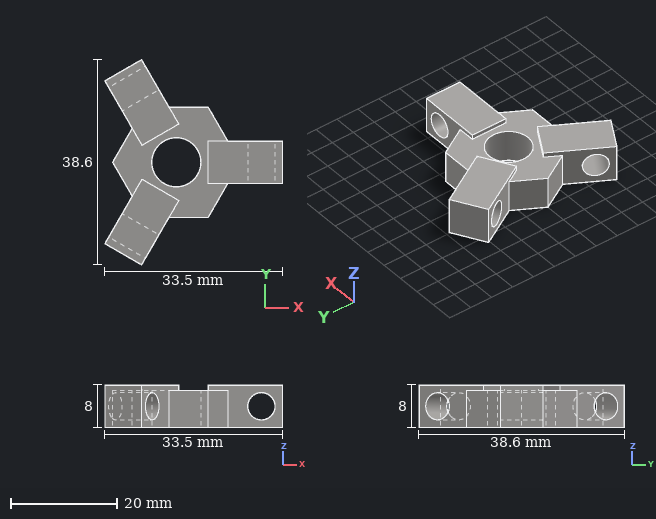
import cadquery as cq

HUB_SIDES = 6
HUB_CORNER_RADIUS = 12.0
HUB_HEIGHT = 7.0
BORE_DIAMETER = 9.2

ARM_COUNT = 3
ARM_INNER_RADIUS = 6.0
ARM_OUTER_RADIUS = 20.0
ARM_WIDTH = 8.0
ARM_HEIGHT = 8.0

CROSS_HOLE_DIAMETER = 5.1
CROSS_HOLE_RADIAL_POSITION = 16.0


def make_hub():
    """Hexagonal prism with a central through bore."""
    return (
        cq.Workplane("XY")
        .polygon(HUB_SIDES, 2 * HUB_CORNER_RADIUS)
        .circle(BORE_DIAMETER / 2)
        .extrude(HUB_HEIGHT)
    )


def make_arm():
    """Rectangular arm along +X with its cross hole along Y."""
    arm_length = ARM_OUTER_RADIUS - ARM_INNER_RADIUS
    arm = (
        cq.Workplane("XY")
        .box(arm_length, ARM_WIDTH, ARM_HEIGHT, centered=(False, True, False))
        .translate((ARM_INNER_RADIUS, 0, 0))
    )
    cross_hole = (
        cq.Workplane("XZ")
        .center(CROSS_HOLE_RADIAL_POSITION, ARM_HEIGHT / 2)
        .circle(CROSS_HOLE_DIAMETER / 2)
        .extrude(ARM_WIDTH, both=True)
    )
    return arm.cut(cross_hole)


def make_part():
    """Hub with the arms evenly spaced around the Z axis."""
    part = make_hub()
    arm = make_arm()
    for index in range(ARM_COUNT):
        angle = index * 360 / ARM_COUNT
        part = part.union(arm.rotate((0, 0, 0), (0, 0, 1), angle))
    return part


result = make_part()